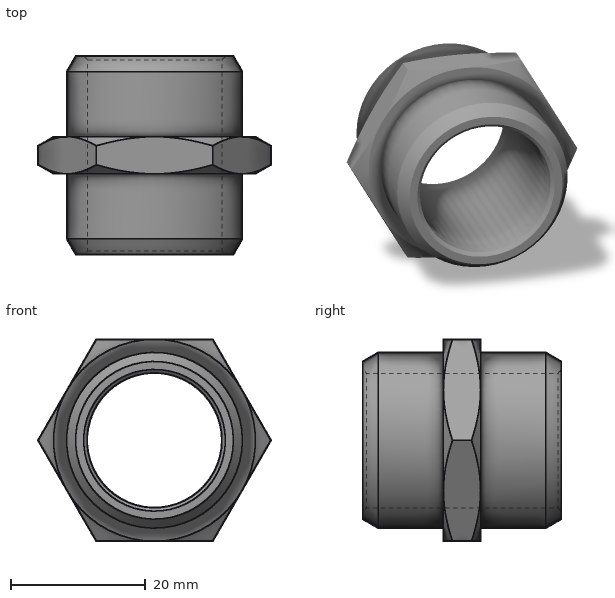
import cadquery as cq
import math

length = 29.5
body_diameter = 26.12
bore_diameter = 20.0
bore_mouth_diameter = 21.05
end_chamfer_length = 2.32
hex_corner_diameter = 34.65
hex_thickness = 5.5
chamfer_angle = math.radians(30)
cone_overrun = 0.35

half_length = length / 2
body_radius = body_diameter / 2
bore_radius = bore_diameter / 2
mouth_radius = bore_mouth_diameter / 2
mouth_chamfer_length = mouth_radius - bore_radius
end_radius = body_radius - end_chamfer_length * math.tan(chamfer_angle)
hex_corner_radius = hex_corner_diameter / 2
hex_flat_radius = hex_corner_radius * math.cos(math.radians(30))
hex_half_thickness = hex_thickness / 2


def revolve_about_y(points):
    """Revolve a closed (radius, y) outline around the Y axis."""
    return cq.Workplane("XY").polyline(points).close().revolve(360, (0, 0, 0), (0, 1, 0))


def make_body():
    """Solid cylinder with a tapered lead-in at both ends."""
    shoulder = half_length - end_chamfer_length
    return revolve_about_y([
        (0, -half_length),
        (end_radius, -half_length),
        (body_radius, -shoulder),
        (body_radius, shoulder),
        (end_radius, half_length),
        (0, half_length),
    ])


def make_hex():
    """Central hexagon with its corners turned down by cones on both faces."""
    prism = (
        cq.Workplane("XZ")
        .polygon(6, hex_corner_diameter)
        .extrude(hex_half_thickness, both=True)
    )
    corner_drop = (hex_corner_radius - hex_flat_radius) * math.tan(chamfer_angle)
    corner_half_height = hex_half_thickness - corner_drop
    outer_radius = hex_corner_radius + cone_overrun
    outer_half_height = corner_half_height - cone_overrun * math.tan(chamfer_angle)
    envelope = revolve_about_y([
        (0, -hex_half_thickness),
        (hex_flat_radius, -hex_half_thickness),
        (outer_radius, -outer_half_height),
        (outer_radius, outer_half_height),
        (hex_flat_radius, hex_half_thickness),
        (0, hex_half_thickness),
    ])
    return prism.intersect(envelope)


def make_bore():
    """Through bore with a 45 degree chamfer at each mouth."""
    chamfer_start = half_length - mouth_chamfer_length
    return revolve_about_y([
        (0, -half_length),
        (mouth_radius, -half_length),
        (bore_radius, -chamfer_start),
        (bore_radius, chamfer_start),
        (mouth_radius, half_length),
        (0, half_length),
    ])


result = make_body().union(make_hex()).cut(make_bore())